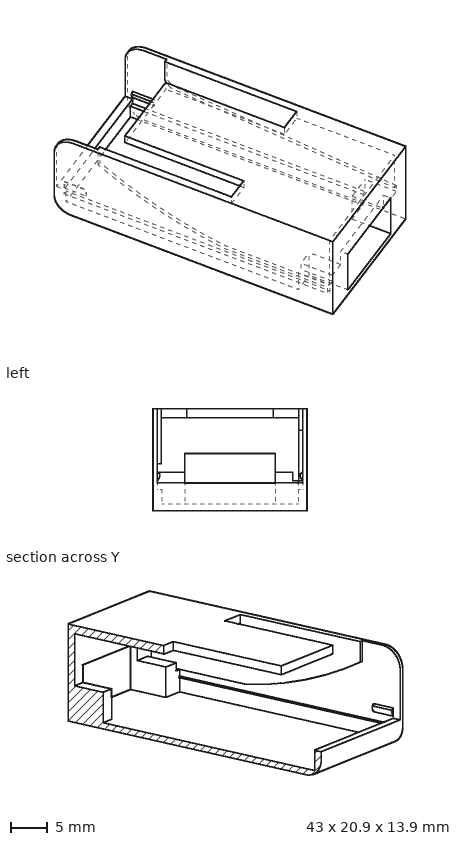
import cadquery as cq

length = 42.95
width = 20.9
height = 13.87
top_corner_radius = 3.0
bottom_corner_radius = 2.58

deck_thickness = 1.25
floor_thickness = 0.95
end_wall = 1.15
entry_wall = 0.6
guide_wall = 1.1
lower_wall = 1.2
sill_top = 3.82
ledge_top = 2.95

opening_end = 26.7
tab_start = 8.4
tab_width = 11.7

guide_start = 6.4
left_guide_corner = 9.35
left_guide_end = 6.4
left_guide_radius = 1.5
right_guide_start = 10.95
right_guide_middle = 6.53
right_guide_flat = 25.75
right_guide_end = 4.12

ridge_length = 3.35
ridge_bottom = 4.12
ridge_top = 5.3
ridge_crest = 5.03
ridge_bulge = 4.5
ridge_depth = 0.3
ridge_bulge_depth = 0.25

window_width = 12.3
window_top = 7.77
block_start = 36.95
block_top = 5.3
block_step_top = 4.12
block_right_edge = -8.5

cavity_end = length - end_wall
half_entry = width / 2 - entry_wall
half_guide = width / 2 - guide_wall
half_lower = width / 2 - lower_wall


def box(x0, x1, y0, y1, z0, z1):
    """Box between opposite corner coordinates."""
    return cq.Workplane("XY").box(x1 - x0, y1 - y0, z1 - z0, centered=False).translate((x0, y0, z0))


def extrude_side(profile, y0, y1):
    """Extrude an XZ outline from y0 to y1."""
    return profile.extrude(y0 - y1).translate((0, y0, 0))


def make_body():
    body = box(0, length, -width / 2, width / 2, 0, height)
    body = body.edges("<X and >Z").fillet(top_corner_radius)
    return body.edges("<X and <Z").fillet(bottom_corner_radius)


def cut_cavity(body):
    deck_bottom = height - deck_thickness
    body = body.cut(box(end_wall, cavity_end, -half_lower, half_lower, floor_thickness, ledge_top))
    body = body.cut(box(end_wall, cavity_end, -half_entry, half_entry, ledge_top, deck_bottom))
    body = body.cut(box(0, guide_start, -half_entry, half_entry, sill_top, height))
    opening = box(guide_start, opening_end, -half_guide, half_guide, deck_bottom, height)
    tab = box(tab_start, opening_end, -tab_width / 2, tab_width / 2, deck_bottom, height)
    return body.cut(opening.cut(tab))


def left_guide():
    """Guide on the +Y wall: sloping lower edge with a rounded front corner."""
    profile = (
        cq.Workplane("XZ")
        .moveTo(guide_start, height - deck_thickness)
        .lineTo(guide_start, left_guide_corner)
        .lineTo(cavity_end, left_guide_end)
        .lineTo(cavity_end, height - deck_thickness)
        .close()
    )
    guide = extrude_side(profile, half_guide, half_entry)
    return guide.edges("|Y and <X").edges("<Z").fillet(left_guide_radius)


def right_guide():
    """Guide on the -Y wall: concave lower edge levelling out to a flat."""
    profile = (
        cq.Workplane("XZ")
        .moveTo(guide_start, height - deck_thickness)
        .lineTo(guide_start, right_guide_start)
        .threePointArc(
            ((guide_start + right_guide_flat) / 2, right_guide_middle),
            (right_guide_flat, right_guide_end),
        )
        .lineTo(cavity_end, right_guide_end)
        .lineTo(cavity_end, height - deck_thickness)
        .close()
    )
    return extrude_side(profile, -half_entry, -half_guide)


def snap_ridge(side):
    """Ridge with a sloping top and rounded underside; side is +1 or -1."""
    wall = side * half_entry
    return (
        cq.Workplane("YZ", origin=(end_wall, 0, 0))
        .moveTo(wall, ridge_bottom)
        .threePointArc(
            (wall - side * ridge_bulge_depth, ridge_bulge),
            (wall - side * ridge_depth, ridge_crest),
        )
        .lineTo(wall, ridge_top)
        .close()
        .extrude(ridge_length)
    )


def support_block():
    lower = box(block_start, cavity_end, block_right_edge, half_lower, floor_thickness, block_top)
    upper = box(block_start, cavity_end, half_lower, half_entry, ledge_top, block_top)
    step = box(block_start, cavity_end, -half_lower, block_right_edge, floor_thickness, block_step_top)
    return lower.union(upper).union(step)


result = cut_cavity(make_body())
result = result.union(left_guide()).union(right_guide()).union(support_block())
for side in (-1, 1):
    result = result.union(snap_ridge(side))

window = box(block_start, length, -window_width / 2, window_width / 2, floor_thickness, window_top)
result = result.cut(window)